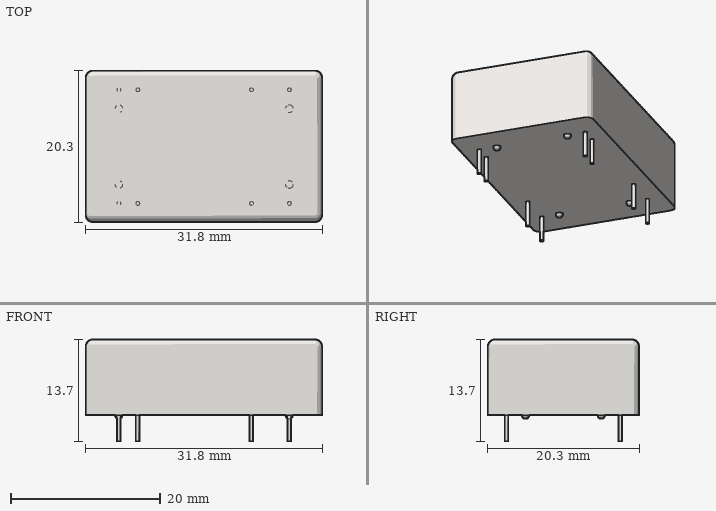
import cadquery as cq

case_length = 31.75
case_width = 20.32
case_height = 10.15
edge_radius = 1.02

total_height = 13.7
pin_length = total_height - case_height
pin_diameter = 0.5
pitch = 2.55
pin_columns = (-4.5, -3.5, 2.5, 4.5)
pin_row_offset = 3 * pitch

standoff_radius = 0.5
standoff_x = 4.5 * pitch
standoff_y = 2 * pitch


def make_case():
    """Block with its underside on Z = 0, rounded on all but the bottom edges."""
    block = cq.Workplane("XY").box(case_length, case_width, case_height, centered=(True, True, False))
    return block.edges("|Z or >Z").fillet(edge_radius)


def make_pins():
    """Round pins hanging from the underside."""
    positions = [(column * pitch, side * pin_row_offset) for column in pin_columns for side in (-1, 1)]
    return cq.Workplane("XY").pushPoints(positions).circle(pin_diameter / 2).extrude(-pin_length)


def make_standoffs():
    """Spheres centred on the underside; their upper halves merge into the case."""
    centres = cq.Workplane("XY").rect(2 * standoff_x, 2 * standoff_y, forConstruction=True).vertices()
    return centres.sphere(standoff_radius)


result = make_case().union(make_pins()).union(make_standoffs())